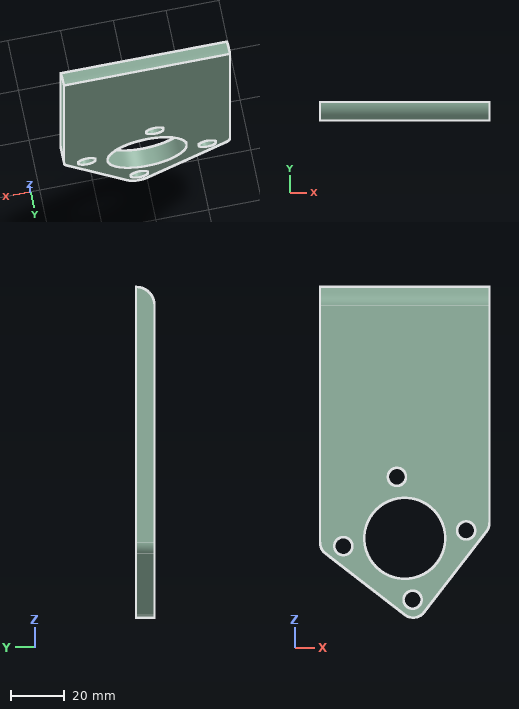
import cadquery as cq
import math

width = 63.0
height = 123.0
thickness = 7.0
bore_diameter = 30.0
bolt_hole_diameter = 6.6
bolt_circle_radius = 23.0
bolt_count = 4
pattern_tilt = 7.3
edge_distance = 22.5
corner_radius = 5.0


def polar_point(radius, angle):
    """Point in the front plane at a radius and an angle in degrees."""
    turn = math.radians(angle)
    return radius * math.cos(turn), radius * math.sin(turn)


bolt_centres = [
    polar_point(bolt_circle_radius, pattern_tilt + i * 360 / bolt_count)
    for i in range(bolt_count)
]

half_width = width / 2
left_edge_normal = 225 + pattern_tilt
right_edge_normal = 315 + pattern_tilt


def edge_height(x, normal_angle):
    """Height at x of a sloped edge lying edge_distance from the bore centre."""
    normal_x, normal_z = polar_point(1, normal_angle)
    return (edge_distance - x * normal_x) / normal_z


tip_angle = 270 + pattern_tilt
tip = polar_point(edge_distance * math.sqrt(2), tip_angle)
tip_arc_centre = polar_point((edge_distance - corner_radius) * math.sqrt(2), tip_angle)
top = tip_arc_centre[1] - corner_radius + height

plate = (
    cq.Workplane("XZ")
    .moveTo(-half_width, top)
    .lineTo(half_width, top)
    .lineTo(half_width, edge_height(half_width, right_edge_normal))
    .lineTo(*tip)
    .lineTo(-half_width, edge_height(-half_width, left_edge_normal))
    .close()
    .extrude(-thickness)
)
lower_corners = plate.edges("|Y").edges(
    cq.selectors.BoxSelector((-width, -thickness, -height), (width, 2 * thickness, top / 2))
)
plate = lower_corners.fillet(corner_radius)

round_start = top - thickness
arc_offset = thickness * math.sqrt(0.5)
top_waste = (
    cq.Workplane("YZ", origin=(-half_width, 0, 0))
    .moveTo(0, round_start)
    .threePointArc((thickness - arc_offset, round_start + arc_offset), (thickness, top))
    .lineTo(0, top)
    .close()
    .extrude(width)
)

bore = cq.Workplane("XZ").circle(bore_diameter / 2).extrude(-thickness)
bolt_holes = (
    cq.Workplane("XZ")
    .pushPoints(bolt_centres)
    .circle(bolt_hole_diameter / 2)
    .extrude(-thickness)
)

result = plate.cut(top_waste).cut(bore).cut(bolt_holes)